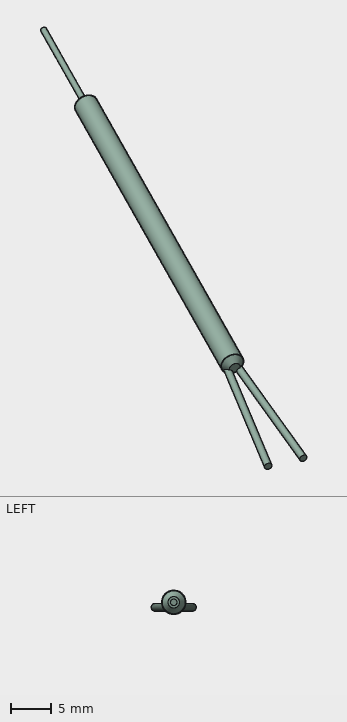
import cadquery as cq
import math

total_length = 89.55
sleeve_start = 15.7
sleeve_end = 69.8
cap_length = 0.9

sleeve_radius = 1.5
sleeve_wall = 0.1
core_radius = sleeve_radius - sleeve_wall
cap_tip_radius = 0.7

single_lead_diameter = 0.8
pair_lead_diameter = 1.0
pair_spread = 5.6
pair_height = -0.6
pair_angle = 4.8
lead_embed = 1.8


def make_sleeve():
    """Thin tube open at both ends."""
    return (
        cq.Workplane("YZ", origin=(sleeve_start, 0, 0))
        .circle(sleeve_radius)
        .circle(core_radius)
        .extrude(sleeve_end - sleeve_start)
    )


def make_core():
    """Filling of the sleeve, with a conical cap standing out of each end."""
    start_tip = sleeve_start - cap_length
    end_tip = sleeve_end + cap_length
    return (
        cq.Workplane("XY")
        .moveTo(start_tip, 0)
        .lineTo(start_tip, cap_tip_radius)
        .lineTo(sleeve_start, core_radius)
        .lineTo(sleeve_end, core_radius)
        .lineTo(end_tip, cap_tip_radius)
        .lineTo(end_tip, 0)
        .close()
        .revolve(360, (0, 0, 0), (1, 0, 0))
    )


def make_single_lead():
    """Straight lead on the sleeve axis, starting at X = 0."""
    return (
        cq.Workplane("YZ")
        .circle(single_lead_diameter / 2)
        .extrude(sleeve_start + lead_embed)
    )


def make_pair_lead(side):
    """One of the two diverging leads; side is +1 or -1 along Y."""
    slope = math.radians(pair_angle)
    radius = pair_lead_diameter / 2
    tip_x = total_length - radius * math.sin(slope)
    tip_y = side * (pair_spread / 2 - radius * math.cos(slope))
    length = (tip_x - sleeve_end + lead_embed) / math.cos(slope)
    inward = cq.Vector(-math.cos(slope), -side * math.sin(slope), 0)
    tip = cq.Vector(tip_x, tip_y, pair_height)
    return cq.Workplane(cq.Solid.makeCylinder(radius, length, tip, inward))


sleeve = make_sleeve()

wired_core = make_core().union(make_single_lead())
for side in (-1, 1):
    wired_core = wired_core.union(make_pair_lead(side))

result = cq.Compound.makeCompound([sleeve.val(), *wired_core.solids().vals()])